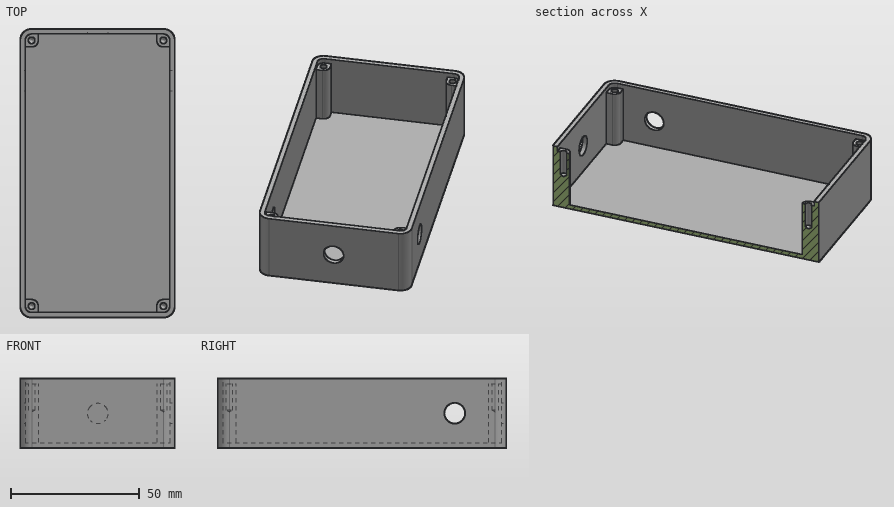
import cadquery as cq
import math

width = 60.0
length = 112.0
height = 27.0
wall = 2.0
floor = 2.0
corner_radius = 4.5
inner_radius = corner_radius - wall

post_radius = 2.6
post_drop = 2.0
post_top = height - post_drop
post_bottom = floor / 2
post_x = width / 2 - corner_radius
post_y = length / 2 - corner_radius
screw_diameter = 2.6
screw_depth = 10.1
drill_tip_angle = 118

opening_diameter = 8.0
side_opening_inset = 20.0
side_opening_y = length / 2 - side_opening_inset
opening_z = height / 2


def rounded_block(size_x, size_y, bottom, top, radius):
    """Upright block with rounded vertical edges, centred on the Z axis."""
    block = cq.Workplane("XY").workplane(offset=bottom).rect(size_x, size_y).extrude(top - bottom)
    return block.edges("|Z").fillet(radius)


def make_post(sign_x, sign_y):
    """Corner post: round toward the inside, with flats running halfway into both walls."""
    reach = corner_radius - wall / 2
    middle_x = post_x - post_radius
    middle_y = post_y - post_radius
    center = (sign_x * post_x, sign_y * post_y)
    base = cq.Workplane("XY").workplane(offset=post_bottom)
    post_height = post_top - post_bottom
    post = base.center(*center).circle(post_radius).extrude(post_height)
    corner_fill = (
        base.moveTo(sign_x * post_x, sign_y * middle_y)
        .lineTo(sign_x * (post_x + reach), sign_y * middle_y)
        .lineTo(sign_x * (post_x + reach), sign_y * (post_y + reach))
        .lineTo(sign_x * middle_x, sign_y * (post_y + reach))
        .lineTo(sign_x * middle_x, sign_y * post_y)
        .lineTo(sign_x * post_x, sign_y * post_y)
        .close()
        .extrude(post_height)
    )
    return post.union(corner_fill)


def make_screw_hole():
    """Blind hole with a conical drill tip, one in each post."""
    tip_depth = screw_diameter / 2 / math.tan(math.radians(drill_tip_angle / 2))
    bottom = post_top - screw_depth
    return (
        cq.Workplane("XZ")
        .moveTo(0, post_top)
        .lineTo(screw_diameter / 2, post_top)
        .lineTo(screw_diameter / 2, bottom)
        .lineTo(0, bottom - tip_depth)
        .close()
        .revolve(360, (0, 0), (0, 1))
    )


outer = rounded_block(width, length, 0, height, corner_radius)
box = outer.cut(rounded_block(width - 2 * wall, length - 2 * wall, floor, height, inner_radius))
for sign_x in (-1, 1):
    for sign_y in (-1, 1):
        box = box.union(make_post(sign_x, sign_y).intersect(outer))
        box = box.cut(make_screw_hole().translate((sign_x * post_x, sign_y * post_y, 0)))

side_openings = (
    cq.Workplane("YZ", origin=(-width / 2, side_opening_y, opening_z))
    .circle(opening_diameter / 2)
    .extrude(width)
)
end_opening = (
    cq.Workplane("XZ", origin=(0, length / 2, opening_z))
    .circle(opening_diameter / 2)
    .extrude(2 * wall)
)

result = box.cut(side_openings).cut(end_opening)